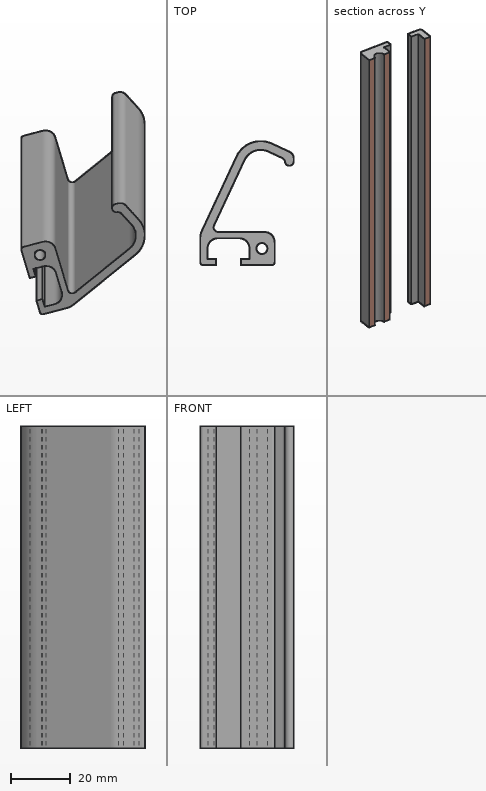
import cadquery as cq
import math

length = 108.0
overall_width = 31.39
overall_depth = 41.63

base_width = 25.0
base_depth = 11.2
base_outer_radius = 1.0
base_shoulder_radius = 3.5
slot_left = 2.5
slot_width = 14.0
slot_top = 9.0
slot_corner_radius = 3.4
mouth_left = 5.35
mouth_width = 8.3
slot_right = slot_left + slot_width
mouth_right = mouth_left + mouth_width
lip_thickness = 2.1
hole_diameter = 3.6
hole_x = 20.7
hole_y = 5.6

wall = 3.0
arm_angle = math.radians(65.0)
knee_y = 10.4
knee_radius = 5.5
arm_root_radius = 1.5
bend_inner_radius = 6.0
bend_outer_radius = bend_inner_radius + wall
tip_width = 3.0
tip_bottom_y = 33.3
tip_radius = tip_width / 2
tip_inner_radius = 1.5
tip_outer_radius = 2.5


def line_crossing(start, start_angle, other, other_angle):
    """Return where two lines, each given by a point and an angle, cross."""
    dx = other[0] - start[0]
    dy = other[1] - start[1]
    across = dx * math.sin(other_angle) - dy * math.cos(other_angle)
    distance = across / math.sin(other_angle - start_angle)
    return (
        start[0] + distance * math.cos(start_angle),
        start[1] + distance * math.sin(start_angle),
    )


def corner_arc(before, corner, after, radius):
    """Return the start, middle and end of the arc that rounds a corner."""
    to_before = cq.Vector(*before).sub(cq.Vector(*corner)).normalized()
    to_after = cq.Vector(*after).sub(cq.Vector(*corner)).normalized()
    half_angle = to_before.getAngle(to_after) / 2
    setback = radius / math.tan(half_angle)
    to_middle = to_before.add(to_after).normalized()
    middle_distance = radius / math.sin(half_angle) - radius
    point = cq.Vector(*corner)
    return (
        point + to_before * setback,
        point + to_middle * middle_distance,
        point + to_after * setback,
    )


def rounded_outline(corners):
    """Draw a closed outline from (x, y, radius) corners; the first is sharp."""
    shortest_line = 1e-6
    outline = cq.Workplane("XY").moveTo(*corners[0][:2])
    position = cq.Vector(*corners[0][:2])
    for index in range(1, len(corners)):
        x, y, radius = corners[index]
        start = middle = end = cq.Vector(x, y)
        if radius:
            before = corners[index - 1][:2]
            after = corners[(index + 1) % len(corners)][:2]
            start, middle, end = corner_arc(before, (x, y), after, radius)
        if (start - position).Length > shortest_line:
            outline = outline.lineTo(start.x, start.y)
        if radius:
            outline = outline.threePointArc((middle.x, middle.y), (end.x, end.y))
        position = end
    return outline.close()


def base_corners():
    """Corners of the slotted base, from the right of the slot mouth to its shoulder."""
    return [
        (mouth_right, 0, 0),
        (base_width, 0, base_outer_radius),
        (base_width, base_depth, base_shoulder_radius),
    ]


def arm_corners():
    """Corners of the arm and hook, up the inner face and back down the outer face."""
    hook_angle = arm_angle - math.pi / 2
    knee = (0, knee_y)
    inner_start = (wall / math.sin(arm_angle), knee_y)
    root = line_crossing(inner_start, arm_angle, (0, base_depth), 0)

    bend_center_y = overall_depth - bend_outer_radius
    center_line_start = ((wall + bend_inner_radius) / math.sin(arm_angle), knee_y)
    bend_center = line_crossing(center_line_start, arm_angle, (0, bend_center_y), 0)

    def hook_face_point(radius):
        return (
            bend_center[0] + radius * math.cos(arm_angle),
            bend_center[1] + radius * math.sin(arm_angle),
        )

    inner_face = hook_face_point(bend_inner_radius)
    outer_face = hook_face_point(bend_outer_radius)
    tip_left = overall_width - tip_width
    inner_bend = line_crossing(inner_start, arm_angle, inner_face, hook_angle)
    outer_bend = line_crossing(knee, arm_angle, outer_face, hook_angle)
    tip_inner = line_crossing(inner_face, hook_angle, (tip_left, 0), math.pi / 2)
    tip_outer = line_crossing(outer_face, hook_angle, (overall_width, 0), math.pi / 2)
    return [
        (*root, arm_root_radius),
        (*inner_bend, bend_inner_radius),
        (*tip_inner, tip_inner_radius),
        (tip_left, tip_bottom_y, tip_radius),
        (overall_width, tip_bottom_y, tip_radius),
        (*tip_outer, tip_outer_radius),
        (*outer_bend, bend_outer_radius),
        (*knee, knee_radius),
    ]


def slot_corners():
    """Corners of the left base wall and the T-slot, ending at the slot mouth."""
    return [
        (0, 0, base_outer_radius),
        (mouth_left, 0, 0),
        (mouth_left, lip_thickness, 0),
        (slot_left, lip_thickness, 0),
        (slot_left, slot_top, slot_corner_radius),
        (slot_right, slot_top, slot_corner_radius),
        (slot_right, lip_thickness, 0),
        (mouth_right, lip_thickness, 0),
    ]


def through_hole():
    """Round hole along the whole length beside the T-slot."""
    return cq.Workplane("XY").center(hole_x, hole_y).circle(hole_diameter / 2).extrude(length)


profile = rounded_outline(base_corners() + arm_corners() + slot_corners())
result = profile.extrude(length).cut(through_hole())